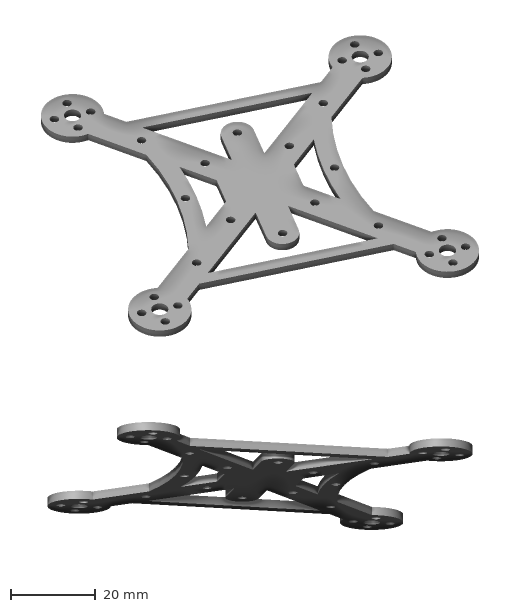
import cadquery as cq
import math

overall = 86.0
thickness = 2.0

pad_diameter = 15.0
arm_width = 8.0
shaft_hole_diameter = 4.0
screw_hole_diameter = 2.2
pad_screw_offset = 4.5

outer_arm_hole = 22.4
inner_arm_hole = 10.4
center_hole_offset = 18.4

plate_side = 19.1
tongue_length = 44.4
rail_outer_x = 29.65
rail_width = 3.0

brace_inner_y = 15.7
brace_outer_y = 20.55
brace_outer_radius = 65.3

pad_center = (overall - pad_diameter) / 2
arm_half_width_on_axis = arm_width / math.sqrt(2)
brace_arc_center_y = brace_outer_y + brace_outer_radius
brace_inner_radius = brace_arc_center_y - brace_inner_y

SIGNS = (-1, 1)


def square_corners(offset):
    return [(sx * offset, sy * offset) for sx in SIGNS for sy in SIGNS]


def make_arms():
    """Two crossing diagonal bars that end at the pad centres."""
    length = 2 * math.sqrt(2) * pad_center
    bar = cq.Workplane("XY").rect(length, arm_width).extrude(thickness)
    rising = bar.rotate((0, 0, 0), (0, 0, 1), 45)
    falling = bar.rotate((0, 0, 0), (0, 0, 1), -45)
    return rising.union(falling)


def make_pads():
    return (
        cq.Workplane("XY")
        .pushPoints(square_corners(pad_center))
        .circle(pad_diameter / 2)
        .extrude(thickness)
    )


def make_center():
    """Square plate with a round-ended tongue running through it along X."""
    plate = cq.Workplane("XY").rect(plate_side, plate_side).extrude(thickness)
    tongue = cq.Workplane("XY").slot2D(tongue_length, arm_width).extrude(thickness)
    return plate.union(tongue)


def make_rail(side):
    """Straight side rail whose ends follow the outer edges of the arms."""
    outer_x = side * rail_outer_x
    inner_x = side * (rail_outer_x - rail_width)
    outer_y = rail_outer_x - arm_half_width_on_axis
    inner_y = outer_y - rail_width
    outline = [(outer_x, -outer_y), (outer_x, outer_y), (inner_x, inner_y), (inner_x, -inner_y)]
    return cq.Workplane("XY").polyline(outline).close().extrude(thickness)


def arc_height(radius, x):
    """Y of a brace edge at the given X."""
    return brace_arc_center_y - math.sqrt(radius**2 - x**2)


def edge_crossing(radius):
    """X where a brace edge meets the arm centreline, y = x."""
    half_sum = brace_arc_center_y / 2
    return half_sum - math.sqrt(radius**2 / 2 - half_sum**2)


def make_brace(side):
    """Curved band between two arms, bowed toward the frame centre."""
    outer_x = edge_crossing(brace_outer_radius)
    inner_x = edge_crossing(brace_inner_radius)
    outer_y = side * arc_height(brace_outer_radius, outer_x)
    inner_y = side * arc_height(brace_inner_radius, inner_x)
    return (
        cq.Workplane("XY")
        .moveTo(-outer_x, outer_y)
        .threePointArc((0, side * brace_outer_y), (outer_x, outer_y))
        .lineTo(inner_x, inner_y)
        .threePointArc((0, side * brace_inner_y), (-inner_x, inner_y))
        .close()
        .extrude(thickness)
    )


def make_holes(points, diameter):
    return cq.Workplane("XY").pushPoints(points).circle(diameter / 2).extrude(thickness)


def axis_points(offset, center=(0, 0)):
    """Four points around a centre, one on each side along X and Y."""
    cx, cy = center
    along_x = [(cx + sign * offset, cy) for sign in SIGNS]
    along_y = [(cx, cy + sign * offset) for sign in SIGNS]
    return along_x + along_y


frame = make_arms().union(make_pads()).union(make_center())
for side in SIGNS:
    frame = frame.union(make_rail(side)).union(make_brace(side))

screw_points = square_corners(outer_arm_hole) + square_corners(inner_arm_hole)
screw_points += axis_points(center_hole_offset)
for pad in square_corners(pad_center):
    screw_points += axis_points(pad_screw_offset, pad)

screw_holes = make_holes(screw_points, screw_hole_diameter)
shaft_holes = make_holes(square_corners(pad_center), shaft_hole_diameter)
result = frame.cut(screw_holes).cut(shaft_holes)